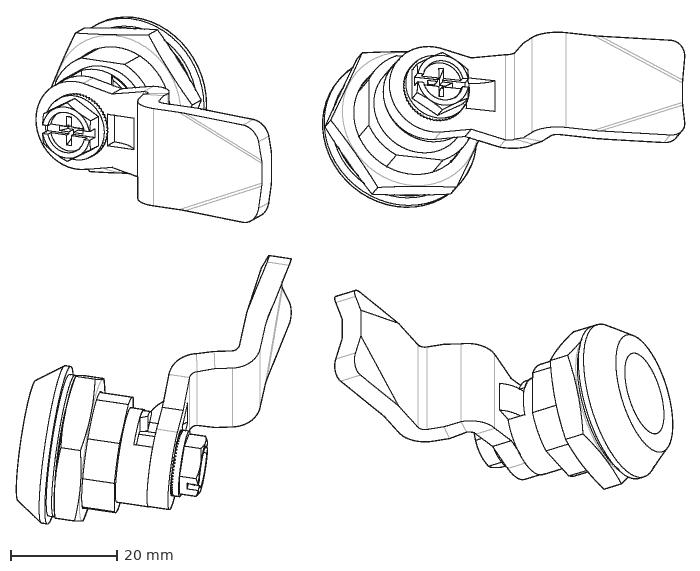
import cadquery as cq
import math


BEZEL_FACE_DIA = 23.0
BEZEL_DIA = 30.0
CONE_DEPTH = 5.0
BEZEL_DEPTH = 6.1
NECK_DIA = 20.6
NECK_END = 7.3
THREAD_DIA = 22.0
THREAD_FLATS = 20.0
HOUSING_END = 18.5
ROTOR_BORE_DIA = 15.8

GASKET_DIA = 27.0
GASKET_END = 7.15

NUT_FLATS = 27.0
NUT_FACE_DIA = 26.75
NUT_BORE_DIA = 22.25
NUT_START = 7.55
NUT_END = 12.45
NUT_TURN = 6.5
NUT_CHAMFER_ANGLE = 15.0

ROTOR_DIA = 18.0
ROTOR_END = 24.55
NOTCH_START = 21.0
NOTCH_WALL = 3.2
STOP_DIA = 17.65
STOP_HEIGHT = 1.35
STOP_BASE_X = 3.15
STOP_TIP_X = 4.1
DRIVE_DIA = 10.0
DRIVE_FLATS = 9.15

SHEET = 4.0
SHEET_END = ROTOR_END + SHEET
HUB_LEFT = ROTOR_DIA / 2
HUB_ARC_X = 1.0
HUB_HALF_WIDTH = 8.45
WAIST_X = 7.1
WAIST_HALF_WIDTH = 7.2
BEND_X = 13.8
BEND_START_HALF_WIDTH = 8.6
BEND_END_HALF_WIDTH = 9.0
BEND_ANGLE = 77.5
BEND_INNER_RADIUS = 1.5
BEND_OUTER_RADIUS = BEND_INNER_RADIUS + SHEET
ARM_START = 36.5
ARM_END_X = 45.0
ARM_HALF_WIDTH = 9.55
ARM_CORNER_RADIUS = 3.0
FLARE_LENGTH = 3.3

FOLD_EDGE_X = 28.1
FOLD_TIP_Z = 2.25
FOLD_ANGLE = 19.2
FOLD_TANGENT = 0.27

EMBOSS_START_X = 6.1
EMBOSS_END_X = 11.8
EMBOSS_HALF_WIDTH = 3.1
EMBOSS_RADIUS = 7.0

FLANGE_DIA = 12.5
FLANGE_END = 30.05
TOOTH_COUNT = 60
TOOTH_DEPTH = 0.35
TOOTH_INNER_RADIUS = 5.1
HEX_FLATS = 10.0
SCREW_END = 33.6
HEX_CHAMFER = 0.4
RECESS_DIA = 7.85
RECESS_DEPTH = 1.2
SLOT_WIDTH = 1.7
SLOT_FLOOR = 31.5
CROSS_WIDTH = 0.95
CROSS_TOP_LENGTH = 5.6
CROSS_FLOOR_LENGTH = 3.4
CROSS_FLOOR = 29.65
SHANK_DIA = 6.0
SHANK_TIP = 18.5


def at_depth(depth):
    """Workplane across the lock axis whose extrusions run towards -Y."""
    return cq.Workplane("XZ").workplane(offset=depth)


def disc(diameter, start, end):
    return at_depth(start).circle(diameter / 2).extrude(end - start)


def block(x_min, x_max, z_min, z_max, start, end):
    return (
        at_depth(start)
        .center((x_min + x_max) / 2, (z_min + z_max) / 2)
        .rect(x_max - x_min, z_max - z_min)
        .extrude(end - start)
    )


def four_flats(diameter, flats, start, end):
    """Round bar with four flats, facing +-X and +-Z."""
    half = flats / 2
    return disc(diameter, start, end).intersect(block(-half, half, -half, half, start, end))


def two_flats(diameter, flats, start, end):
    """Round bar with two flats, facing +-Z."""
    half = flats / 2
    return disc(diameter, start, end).intersect(block(-diameter, diameter, -half, half, start, end))


def hexagon(flats, turn, start, end):
    across_corners = flats / math.cos(math.radians(30))
    bar = at_depth(start).polygon(6, across_corners).extrude(end - start)
    return bar.rotate((0, 0, 0), (0, 1, 0), -turn)


def turned(points):
    """Solid of revolution about the lock axis from (radius, depth) points."""
    profile = [(radius, -depth) for radius, depth in points]
    return cq.Workplane("XY").polyline(profile).close().revolve(360, (0, 0), (0, 1))


def make_housing():
    bezel = turned([
        (0, 0),
        (BEZEL_FACE_DIA / 2, 0),
        (BEZEL_DIA / 2, CONE_DEPTH),
        (BEZEL_DIA / 2, BEZEL_DEPTH),
        (0, BEZEL_DEPTH),
    ])
    neck = disc(NECK_DIA, BEZEL_DEPTH, NECK_END)
    thread = four_flats(THREAD_DIA, THREAD_FLATS, NECK_END, HOUSING_END)
    return bezel.union(neck).union(thread).cut(disc(ROTOR_BORE_DIA, 0, HOUSING_END))


def make_gasket():
    return disc(GASKET_DIA, BEZEL_DEPTH, GASKET_END).cut(disc(NECK_DIA, BEZEL_DEPTH, GASKET_END))


def make_nut():
    face_radius = NUT_FACE_DIA / 2
    outer_radius = NUT_FLATS / math.sqrt(3)
    chamfer = (outer_radius - face_radius) * math.tan(math.radians(NUT_CHAMFER_ANGLE))
    envelope = turned([
        (0, NUT_START),
        (face_radius, NUT_START),
        (outer_radius, NUT_START + chamfer),
        (outer_radius, NUT_END - chamfer),
        (face_radius, NUT_END),
        (0, NUT_END),
    ])
    nut = hexagon(NUT_FLATS, NUT_TURN, NUT_START, NUT_END).intersect(envelope)
    return nut.cut(disc(NUT_BORE_DIA, NUT_START, NUT_END))


def make_rotor():
    radius = ROTOR_DIA / 2
    stem = disc(ROTOR_BORE_DIA, 0, HOUSING_END)
    collar = disc(ROTOR_DIA, HOUSING_END, ROTOR_END)
    notch = block(-NOTCH_WALL, radius, -NOTCH_WALL, radius, NOTCH_START, ROTOR_END)
    drive = two_flats(DRIVE_DIA, DRIVE_FLATS, HOUSING_END, SHEET_END)
    stop_end = NOTCH_START + STOP_HEIGHT
    stop = (
        cq.Workplane("XY", origin=(0, 0, NOTCH_WALL))
        .polyline([
            (STOP_BASE_X, -NOTCH_START),
            (radius, -NOTCH_START),
            (radius, -stop_end),
            (STOP_TIP_X, -stop_end),
        ])
        .close()
        .extrude(radius - NOTCH_WALL)
        .intersect(disc(STOP_DIA, NOTCH_START, stop_end))
    )
    return stem.union(collar.cut(notch)).union(stop).union(drive).cut(disc(SHANK_DIA, SHANK_TIP, SHEET_END))


def bend_point(center, radius, angle):
    """Point on a bend; the angle runs clockwise from +Y, seen from +Z."""
    return (
        center[0] + radius * math.sin(math.radians(angle)),
        center[1] + radius * math.cos(math.radians(angle)),
    )


def down_slope(point, length):
    """Point moved along the steep stretch between the two bends."""
    return (
        point[0] + length * math.cos(math.radians(BEND_ANGLE)),
        point[1] - length * math.sin(math.radians(BEND_ANGLE)),
    )


FIRST_CENTER = (BEND_X, -SHEET_END - BEND_INNER_RADIUS)
SLOPE_LEFT = bend_point(FIRST_CENTER, BEND_INNER_RADIUS, BEND_ANGLE)
SLOPE_RIGHT = bend_point(FIRST_CENTER, BEND_OUTER_RADIUS, BEND_ANGLE)
WIDE_LEFT = down_slope(SLOPE_LEFT, FLARE_LENGTH)
WIDE_RIGHT = down_slope(SLOPE_RIGHT, FLARE_LENGTH)
SECOND_CENTER_Y = -ARM_START + BEND_INNER_RADIUS
SECOND_START_Y = SECOND_CENTER_Y - BEND_INNER_RADIUS * math.cos(math.radians(BEND_ANGLE))
STRAIGHT_LENGTH = (WIDE_RIGHT[1] - SECOND_START_Y) / math.sin(math.radians(BEND_ANGLE))
SECOND_RIGHT = down_slope(WIDE_RIGHT, STRAIGHT_LENGTH)
SECOND_LEFT = down_slope(WIDE_LEFT, STRAIGHT_LENGTH)
ARM_X = SECOND_RIGHT[0] + BEND_INNER_RADIUS * math.sin(math.radians(BEND_ANGLE))
SECOND_CENTER = (ARM_X, SECOND_CENTER_Y)


def make_hub_and_first_bend():
    """Flat hub of the cam and its first bend, both cut to one flared outline."""
    side = (
        cq.Workplane("XY", origin=(0, 0, -ARM_HALF_WIDTH))
        .moveTo(-HUB_LEFT, -ROTOR_END)
        .lineTo(BEND_X, -ROTOR_END)
        .threePointArc(bend_point(FIRST_CENTER, BEND_OUTER_RADIUS, BEND_ANGLE / 2), SLOPE_RIGHT)
        .lineTo(*SLOPE_LEFT)
        .threePointArc(bend_point(FIRST_CENTER, BEND_INNER_RADIUS, BEND_ANGLE / 2), (BEND_X, -SHEET_END))
        .lineTo(-HUB_LEFT, -SHEET_END)
        .close()
        .extrude(2 * ARM_HALF_WIDTH)
    )
    outline = (
        at_depth(ROTOR_END)
        .moveTo(HUB_ARC_X, HUB_HALF_WIDTH)
        .threePointArc((-HUB_LEFT, 0), (HUB_ARC_X, -HUB_HALF_WIDTH))
        .lineTo(WAIST_X, -WAIST_HALF_WIDTH)
        .lineTo(BEND_X, -BEND_START_HALF_WIDTH)
        .lineTo(SLOPE_RIGHT[0], -BEND_END_HALF_WIDTH)
        .lineTo(SLOPE_RIGHT[0], BEND_END_HALF_WIDTH)
        .lineTo(BEND_X, BEND_START_HALF_WIDTH)
        .lineTo(WAIST_X, WAIST_HALF_WIDTH)
        .close()
        .extrude(SHEET + BEND_OUTER_RADIUS)
    )
    return side.intersect(outline)


def sheet_section(left, right, left_half_width, right_half_width):
    """Outline of a cut across the steep stretch of the sheet."""
    corners = [
        (*left, -left_half_width),
        (*right, -right_half_width),
        (*right, right_half_width),
        (*left, left_half_width),
    ]
    return cq.Wire.makePolygon([cq.Vector(*corner) for corner in corners], close=True)


def make_flare():
    """Upper part of the steep stretch, which widens to the width of the arm."""
    widening = BEND_END_HALF_WIDTH - BEND_START_HALF_WIDTH
    bend_share = (SLOPE_LEFT[0] - BEND_X) / (SLOPE_RIGHT[0] - BEND_X)
    left_half_width = BEND_START_HALF_WIDTH + bend_share * widening
    narrow = sheet_section(SLOPE_LEFT, SLOPE_RIGHT, left_half_width, BEND_END_HALF_WIDTH)
    wide = sheet_section(WIDE_LEFT, WIDE_RIGHT, ARM_HALF_WIDTH, ARM_HALF_WIDTH)
    return cq.Workplane(cq.Solid.makeLoft([narrow, wide], True))


def make_second_bend():
    """Lower part of the steep stretch and the bend that turns the sheet parallel to the hub again."""
    middle = BEND_ANGLE / 2 + 180
    return (
        cq.Workplane("XY", origin=(0, 0, -ARM_HALF_WIDTH))
        .moveTo(*WIDE_RIGHT)
        .lineTo(*SECOND_RIGHT)
        .threePointArc(bend_point(SECOND_CENTER, BEND_INNER_RADIUS, middle), (ARM_X, -ARM_START))
        .lineTo(ARM_X, -ARM_START - SHEET)
        .threePointArc(bend_point(SECOND_CENTER, BEND_OUTER_RADIUS, middle), SECOND_LEFT)
        .lineTo(*WIDE_LEFT)
        .close()
        .extrude(2 * ARM_HALF_WIDTH)
    )


def make_arm():
    """End plate of the cam, whose two outer corners are folded towards -Y."""
    sine = math.sin(math.radians(FOLD_ANGLE))
    cosine = math.cos(math.radians(FOLD_ANGLE))
    slope = math.tan(math.radians(FOLD_ANGLE))
    reach = 2 * ARM_HALF_WIDTH
    fold = cq.Vector(ARM_END_X - FOLD_EDGE_X, 0, FOLD_TIP_Z - ARM_HALF_WIDTH)
    across = cq.Vector(-fold.z, 0, fold.x)
    back_fold = SHEET * math.tan(math.radians(FOLD_ANGLE / 2))
    fold_plane = cq.Plane(
        origin=(FOLD_EDGE_X, -ARM_START - SHEET, ARM_HALF_WIDTH), xDir=across, normal=fold
    )
    folded_sheet = (
        cq.Workplane(fold_plane)
        .moveTo(-reach, 0)
        .lineTo(-FOLD_TANGENT, 0)
        .tangentArcPoint((FOLD_TANGENT * cosine, FOLD_TANGENT * sine), relative=False)
        .lineTo(reach, reach * slope)
        .lineTo(reach, reach * slope - SHEET / cosine)
        .lineTo(back_fold, -SHEET)
        .lineTo(-reach, -SHEET)
        .close()
        .extrude(ARM_END_X, both=True)
    )
    upper_half = (
        block(ARM_X, ARM_END_X, 0, ARM_HALF_WIDTH, ARM_START, ARM_START + 2 * SHEET)
        .edges("|Y and >X and >Z")
        .fillet(ARM_CORNER_RADIUS)
        .intersect(folded_sheet)
    )
    return upper_half.union(upper_half.mirror("XY"))


def make_emboss(base_depth):
    """Ridge with a round back, highest at its hub end and running out along the sheet."""
    center_y = -base_depth - math.sqrt(EMBOSS_RADIUS**2 - (EMBOSS_END_X - EMBOSS_START_X) ** 2)
    middle_x = (EMBOSS_START_X + EMBOSS_END_X) / 2
    middle_y = center_y + math.sqrt(EMBOSS_RADIUS**2 - (middle_x - EMBOSS_START_X) ** 2)
    return (
        cq.Workplane("XY", origin=(0, 0, -EMBOSS_HALF_WIDTH))
        .moveTo(EMBOSS_START_X, -base_depth)
        .lineTo(EMBOSS_START_X, center_y + EMBOSS_RADIUS)
        .threePointArc((middle_x, middle_y), (EMBOSS_END_X, -base_depth))
        .close()
        .extrude(2 * EMBOSS_HALF_WIDTH)
    )


def make_cam():
    sheet = make_hub_and_first_bend().union(make_flare()).union(make_second_bend()).union(make_arm())
    stop = make_emboss(ROTOR_END)
    pocket = make_emboss(SHEET_END)
    return sheet.union(stop).cut(pocket).cut(two_flats(DRIVE_DIA, DRIVE_FLATS, ROTOR_END, SHEET_END))


def make_tooth_gaps():
    """V-shaped radial gaps in the face of the flange that bears on the cam."""
    half_gap = math.pi * TOOTH_INNER_RADIUS / TOOTH_COUNT
    gap = (
        cq.Workplane("YZ", origin=(TOOTH_INNER_RADIUS, 0, 0))
        .polyline([
            (-SHEET_END, -half_gap),
            (-SHEET_END, half_gap),
            (-SHEET_END - TOOTH_DEPTH, 0),
        ])
        .close()
        .extrude(FLANGE_DIA / 2)
        .val()
    )
    pitch_angle = 360 / TOOTH_COUNT
    gaps = [gap.rotate((0, 0, 0), (0, 1, 0), i * pitch_angle) for i in range(TOOTH_COUNT)]
    return cq.Workplane(cq.Compound.makeCompound(gaps))


def make_cross():
    """Tapered cross recess for a Phillips driver."""
    floor = RECESS_DEPTH - SCREW_END
    arm = (
        cq.Workplane("XY", origin=(0, 0, -CROSS_WIDTH / 2))
        .polyline([
            (-CROSS_TOP_LENGTH / 2, floor),
            (CROSS_TOP_LENGTH / 2, floor),
            (CROSS_FLOOR_LENGTH / 2, -CROSS_FLOOR),
            (-CROSS_FLOOR_LENGTH / 2, -CROSS_FLOOR),
        ])
        .close()
        .extrude(CROSS_WIDTH)
    )
    return arm.union(arm.rotate((0, 0, 0), (0, 1, 0), 90))


def make_screw():
    shank = disc(SHANK_DIA, SHANK_TIP, SHEET_END)
    flange = disc(FLANGE_DIA, SHEET_END, FLANGE_END).cut(make_tooth_gaps())
    corner_radius = HEX_FLATS / math.sqrt(3)
    envelope = turned([
        (0, FLANGE_END),
        (corner_radius, FLANGE_END),
        (corner_radius, SCREW_END - HEX_CHAMFER),
        (HEX_FLATS / 2, SCREW_END),
        (0, SCREW_END),
    ])
    head = hexagon(HEX_FLATS, 30, FLANGE_END, SCREW_END).intersect(envelope)
    head = head.cut(disc(RECESS_DIA, SCREW_END - RECESS_DEPTH, SCREW_END))
    head = head.cut(block(-HEX_FLATS, HEX_FLATS, -SLOT_WIDTH / 2, SLOT_WIDTH / 2, SLOT_FLOOR, SCREW_END))
    return shank.union(flange).union(head).cut(make_cross())


housing = make_housing()
gasket = make_gasket()
nut = make_nut()
rotor = make_rotor()
cam = make_cam()
screw = make_screw()

result = cq.Compound.makeCompound([
    housing.solids().val(),
    gasket.solids().val(),
    nut.solids().val(),
    rotor.solids().val(),
    cam.solids().val(),
    screw.solids().val(),
])